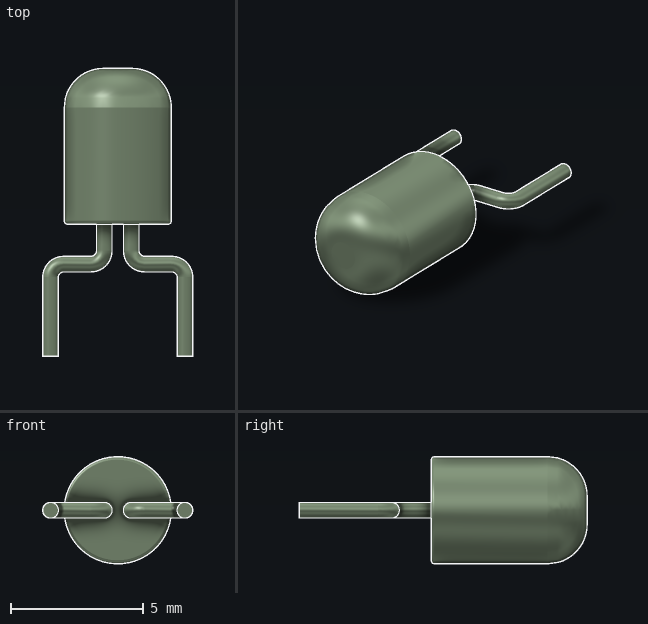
import cadquery as cq

total_length = 10.89

housing_length = 5.9
housing_diameter = 4.06
nose_radius = 1.49
base_edge_radius = 0.13

wire_diameter = 0.6
overall_width = 5.68
inner_offset = 0.51
bend_radius = 0.5
inner_straight = 1.0

outer_offset = (overall_width - wire_diameter) / 2
crossing_y = -(inner_straight + bend_radius)
tip_y = housing_length - total_length


def make_housing():
    """Solid round housing with a rounded nose and a softened base edge."""
    cylinder = cq.Workplane("XZ").circle(housing_diameter / 2).extrude(-housing_length)
    return cylinder.faces(">Y").edges().fillet(nose_radius).faces("<Y").edges().fillet(base_edge_radius)


def make_lead(side):
    """Round wire stepped outward by two right-angle bends; side is -1 or 1 along X."""
    path = (
        cq.Workplane("XY")
        .moveTo(side * inner_offset, 0)
        .lineTo(side * inner_offset, -inner_straight)
        .tangentArcPoint((side * (inner_offset + bend_radius), crossing_y), relative=False)
        .lineTo(side * (outer_offset - bend_radius), crossing_y)
        .tangentArcPoint((side * outer_offset, crossing_y - bend_radius), relative=False)
        .lineTo(side * outer_offset, tip_y)
    )
    wire_section = cq.Workplane("XZ").center(side * inner_offset, 0).circle(wire_diameter / 2)
    return wire_section.sweep(path)


housing = make_housing()
leads = [make_lead(side) for side in (-1, 1)]

result = cq.Compound.makeCompound([housing.val(), *[lead.val() for lead in leads]])